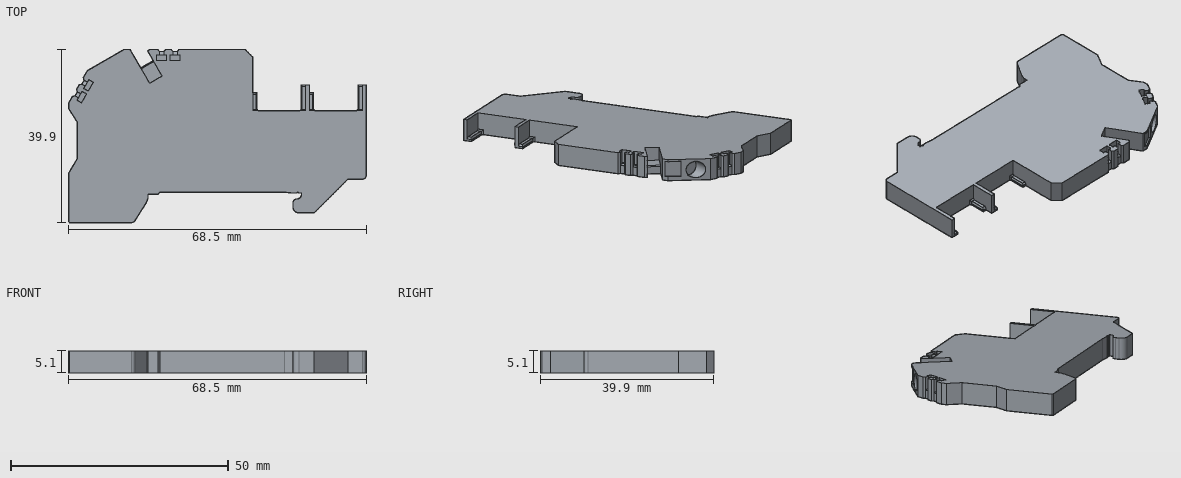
import cadquery as cq
import math

LENGTH = 68.5
HEIGHT = 39.9
THICKNESS = 5.1
SIDE_ANGLE = 30.0
SIN_A = math.sin(math.radians(SIDE_ANGLE))
COS_A = math.cos(math.radians(SIDE_ANGLE))

FOOT_WIDTH = 15.0
FOOT_CORNER = 0.25
FOOT_OUTER_RADIUS = 1.0
WAIST_X = 1.95
WAIST_BOTTOM_Y = 14.7
WAIST_TOP_Y = 23.2
FOOT_SHOULDER_Y = 11.4
HEAD_BOTTOM_Y = 26.25
SLOPE_START = (4.3, 35.0)
SLOPE_RISE = HEIGHT - SLOPE_START[1]
SLOPE_END_X = SLOPE_START[0] + SLOPE_RISE * COS_A / SIN_A
FACET_END_Y = SLOPE_START[1] - SLOPE_START[0] * COS_A / SIN_A

FOOT_SLOPE_END = (17.9, 4.6)
FOOT_INNER = (18.3, 5.6)
SEAT_Y = 7.0
SEAT_PAD_LEFT_Y = 6.55
SEAT_PAD_LEFT_END = 20.6
SEAT_PAD_RIGHT_Y = 6.8
SEAT_PAD_RIGHT_START = 49.7
PAD_LEFT_RAMP = 0.4
PAD_RIGHT_RAMP = 1.8
SEAT_GROOVE_X = 52.6
SEAT_GROOVE_WIDTH = 0.3
HOOK_CORNER_RADIUS = 1.4
HOOK_THROAT_RADIUS = 1.0
HOOK_TIP_RADIUS = 0.95
HOOK_LEFT = 51.6
HOOK_BOTTOM_Y = 2.25
HOOK_BOTTOM_END = 56.5
HOOK_THROAT_Y = 6.5
TAIL_BOTTOM_Y = 10.0
TAIL_RADIUS = 0.9

STEP_X = 42.4
STEP_CHAMFER = 1.8
DECK_Y = 25.8

WALL_WIDTH = 0.9
WALL_TOP_Y = 31.75
WALL_PITCH = 13.05
WALL_LEFTS = [LENGTH - WALL_WIDTH - WALL_PITCH, LENGTH - WALL_WIDTH]
SHORT_LIP_WIDTH = 0.95
LONG_LIP_WIDTH = 1.05
LIP_THICKNESS = 0.9
LIP_END_BEVEL = 0.4
LIP_SIDE_BEVEL = 0.22
LIP_SIDE_BEVEL_HEIGHT = 0.5
LIP_FLARE = 0.3
LIP_OVERLAP = 0.3
LONG_LIP_LENGTH = WALL_TOP_Y - DECK_Y
SHORT_LIP_LENGTH = 4.15

NOTCH_MOUTH = 1.85
NOTCH_NECK = 1.05
NOTCH_MOUTH_DEPTH = 0.45
NOTCH_POCKET_START = 1.35
NOTCH_POCKET_END = 2.55
NOTCH_POCKET_WIDTH = 2.35
NOTCH_POCKET_FLOOR = 2.0
NOTCH_RAMP_LOW = 2.0
NOTCH_RAMP_HIGH = 2.25
NOTCH_PITCH = 3.1
TOP_NOTCH_X = 21.4
FACET_NOTCH_OFFSET = 2.8

SLOT_CORNER = (18.65, 32.1)
SLOT_WIDTH = 3.3
SLOT_BLIND_LENGTH = 4.1
SLOT_FLOOR = 2.0
SLOT_FLOOR_CHAMFER = 0.25
SLOT_REACH = 12.0
SLOT_LIP_X = 18.75
SLOT_LIP_REACH = 2.0

ENTRY_DIAMETER = 3.9
ENTRY_DEPTH = 2.75
ENTRY_TILT = 30.0
ENTRY_Y = 36.67
RECESS_BOTTOM_Y = 38.4
RECESS_WIDTH = 3.6
RECESS_Z = 2.8
RECESS_DEPTH = 0.4


def slope_point_at(y):
    """Point on the wire-entry slope at height y, as (x, y)."""
    return SLOPE_START[0] + (y - SLOPE_START[1]) * COS_A / SIN_A, y


def prism(points, bottom, top):
    """Straight-sided solid over a polygon in XY, between two Z levels."""
    return cq.Workplane("XY").workplane(offset=bottom).polyline(points).close().extrude(top - bottom)


def body():
    """Plate outline with its rounded corners, before any cuts."""
    tip_x = HOOK_LEFT + HOOK_TIP_RADIUS
    tip_y = HOOK_THROAT_Y - HOOK_THROAT_RADIUS
    throat_x = tip_x + HOOK_THROAT_RADIUS
    groove_end = SEAT_GROOVE_X + SEAT_GROOVE_WIDTH
    tail_start = HOOK_BOTTOM_END + TAIL_BOTTOM_Y - HOOK_BOTTOM_Y
    outline = (
        cq.Workplane("XY")
        .moveTo(0, FOOT_CORNER)
        .lineTo(FOOT_CORNER, 0)
        .lineTo(FOOT_WIDTH, 0)
        .lineTo(*FOOT_SLOPE_END)
        .lineTo(*FOOT_INNER)
        .lineTo(FOOT_INNER[0], SEAT_PAD_LEFT_Y)
        .lineTo(SEAT_PAD_LEFT_END, SEAT_PAD_LEFT_Y)
        .lineTo(SEAT_PAD_LEFT_END + PAD_LEFT_RAMP, SEAT_Y)
        .lineTo(SEAT_PAD_RIGHT_START, SEAT_Y)
        .lineTo(SEAT_PAD_RIGHT_START + PAD_RIGHT_RAMP, SEAT_PAD_RIGHT_Y)
        .lineTo(SEAT_GROOVE_X, SEAT_PAD_RIGHT_Y)
        .lineTo(SEAT_GROOVE_X, SEAT_Y)
        .lineTo(groove_end, SEAT_Y)
        .lineTo(groove_end, SEAT_PAD_RIGHT_Y)
        .lineTo(throat_x, SEAT_PAD_RIGHT_Y)
        .lineTo(throat_x, HOOK_THROAT_Y)
        .radiusArc((tip_x, tip_y), HOOK_THROAT_RADIUS)
        .radiusArc((HOOK_LEFT, tip_y - HOOK_TIP_RADIUS), -HOOK_TIP_RADIUS)
        .lineTo(HOOK_LEFT, HOOK_BOTTOM_Y)
        .lineTo(HOOK_BOTTOM_END, HOOK_BOTTOM_Y)
        .lineTo(tail_start, TAIL_BOTTOM_Y)
        .lineTo(LENGTH, TAIL_BOTTOM_Y)
        .lineTo(LENGTH, DECK_Y)
        .lineTo(STEP_X, DECK_Y)
        .lineTo(STEP_X, HEIGHT - STEP_CHAMFER)
        .lineTo(STEP_X - STEP_CHAMFER, HEIGHT)
        .lineTo(SLOPE_END_X, HEIGHT)
        .lineTo(*SLOPE_START)
        .lineTo(0, FACET_END_Y)
        .lineTo(0, HEAD_BOTTOM_Y)
        .lineTo(WAIST_X, WAIST_TOP_Y)
        .lineTo(WAIST_X, WAIST_BOTTOM_Y)
        .lineTo(0, FOOT_SHOULDER_Y)
        .close()
    )
    plate = outline.extrude(THICKNESS)
    rounded_corners = [
        ((FOOT_WIDTH, 0), FOOT_OUTER_RADIUS),
        ((HOOK_LEFT, HOOK_BOTTOM_Y), HOOK_CORNER_RADIUS),
        ((LENGTH, TAIL_BOTTOM_Y), TAIL_RADIUS),
    ]
    for (x, y), radius in rounded_corners:
        nearest = cq.selectors.NearestToPointSelector((x, y, THICKNESS / 2))
        plate = plate.edges("|Z").edges(nearest).fillet(radius)
    return plate


def wall(left):
    """Thin full-thickness wall standing on the deck."""
    return cq.Workplane("XY").box(
        WALL_WIDTH, WALL_TOP_Y - DECK_Y + LIP_OVERLAP, THICKNESS, centered=False
    ).translate((left, DECK_Y - LIP_OVERLAP, 0))


def lip(root_x, side, width, length):
    """Bevelled lip beside a wall face at root_x; side is +1 or -1 along X."""
    foot_width = width + LIP_FLARE
    foot_thickness = LIP_THICKNESS + LIP_FLARE
    plan = prism(
        [
            (-LIP_OVERLAP, -LIP_OVERLAP),
            (foot_width, -LIP_OVERLAP),
            (foot_width, 0),
            (width, LIP_FLARE),
            (width, length),
            (-LIP_OVERLAP, length),
        ],
        0,
        foot_thickness,
    )
    side_profile = (
        cq.Workplane("YZ")
        .workplane(offset=-LIP_OVERLAP)
        .moveTo(-LIP_OVERLAP, 0)
        .lineTo(length, 0)
        .lineTo(length, LIP_THICKNESS - LIP_END_BEVEL)
        .lineTo(length - LIP_END_BEVEL, LIP_THICKNESS)
        .lineTo(LIP_FLARE, LIP_THICKNESS)
        .lineTo(0, foot_thickness)
        .lineTo(-LIP_OVERLAP, foot_thickness)
        .close()
        .extrude(LIP_OVERLAP + foot_width)
    )
    side_bevel = (
        cq.Workplane("XZ")
        .workplane(offset=-LIP_FLARE)
        .moveTo(width, LIP_THICKNESS - LIP_SIDE_BEVEL_HEIGHT)
        .lineTo(width, LIP_THICKNESS)
        .lineTo(width - LIP_SIDE_BEVEL, LIP_THICKNESS)
        .close()
        .extrude(-length)
    )
    shape = plan.intersect(side_profile).cut(side_bevel)
    if side < 0:
        shape = shape.mirror("YZ")
    return shape.translate((root_x, DECK_Y, 0))


def notch_cutter():
    """Marker notch cut from an edge on the X axis, running toward -Y, centred on X = 0."""
    mouth = prism(
        [
            (-NOTCH_MOUTH / 2, 0),
            (NOTCH_MOUTH / 2, 0),
            (NOTCH_NECK / 2, -NOTCH_MOUTH_DEPTH),
            (-NOTCH_NECK / 2, -NOTCH_MOUTH_DEPTH),
        ],
        0,
        THICKNESS,
    )
    neck = (
        cq.Workplane("YZ")
        .workplane(offset=-NOTCH_NECK / 2)
        .moveTo(-NOTCH_MOUTH_DEPTH, THICKNESS)
        .lineTo(-NOTCH_MOUTH_DEPTH, NOTCH_RAMP_LOW)
        .lineTo(-NOTCH_POCKET_START, NOTCH_RAMP_HIGH)
        .lineTo(-NOTCH_POCKET_START, THICKNESS)
        .close()
        .extrude(NOTCH_NECK)
    )
    pocket = cq.Workplane("XY").box(
        NOTCH_POCKET_WIDTH,
        NOTCH_POCKET_END - NOTCH_POCKET_START,
        THICKNESS - NOTCH_POCKET_FLOOR,
        centered=(True, False, False),
    ).translate((0, -NOTCH_POCKET_END, NOTCH_POCKET_FLOOR))
    return mouth.union(neck).union(pocket)


def marker_notches():
    """Two notches in the top edge and two in the slanted left facet."""
    cutters = []
    for index in range(2):
        top_x = TOP_NOTCH_X + index * NOTCH_PITCH
        cutters.append(notch_cutter().translate((top_x, HEIGHT, 0)))
        along = FACET_NOTCH_OFFSET + index * NOTCH_PITCH
        facet_point = (SLOPE_START[0] - along * SIN_A, SLOPE_START[1] - along * COS_A, 0)
        turned = notch_cutter().rotate((0, 0, 0), (0, 0, 1), 90 - SIDE_ANGLE)
        cutters.append(turned.translate(facet_point))
    return cutters


def driver_slot():
    """Slot whose outer part passes through the plate and whose inner part has a floor."""
    profile = (
        cq.Workplane("YZ")
        .moveTo(0, THICKNESS)
        .lineTo(0, SLOT_FLOOR)
        .lineTo(SLOT_BLIND_LENGTH - SLOT_FLOOR_CHAMFER, SLOT_FLOOR)
        .lineTo(SLOT_BLIND_LENGTH, SLOT_FLOOR - SLOT_FLOOR_CHAMFER)
        .lineTo(SLOT_BLIND_LENGTH, 0)
        .lineTo(SLOT_REACH, 0)
        .lineTo(SLOT_REACH, THICKNESS)
        .close()
        .extrude(SLOT_WIDTH)
    )
    turned = profile.rotate((0, 0, 0), (0, 0, 1), SIDE_ANGLE)
    return turned.translate((SLOT_CORNER[0], SLOT_CORNER[1], 0))


def slot_lip_bevel():
    """Blunts the sharp edge between the slot and the flat top."""
    drop = SLOT_LIP_REACH * SIN_A / COS_A
    points = [
        (SLOT_LIP_X, HEIGHT),
        (SLOT_LIP_X - SLOT_LIP_REACH, HEIGHT),
        (SLOT_LIP_X - SLOT_LIP_REACH, HEIGHT - drop),
    ]
    return prism(points, 0, THICKNESS)


def wire_entry():
    """Blind round bore in the slope, tilted toward -X from the slope normal."""
    x, y = slope_point_at(ENTRY_Y)
    angle = math.radians(90 + SIDE_ANGLE + ENTRY_TILT)
    outward = cq.Vector(math.cos(angle), math.sin(angle), 0)
    start = cq.Vector(x, y, THICKNESS / 2) - outward * ENTRY_DEPTH
    bore = cq.Solid.makeCylinder(ENTRY_DIAMETER / 2, 2 * ENTRY_DEPTH, start, outward)
    return cq.Workplane(obj=bore)


def slope_recess():
    """Shallow rectangular recess in the upper end of the slope, open at the top edge."""
    x, y = slope_point_at(RECESS_BOTTOM_Y)
    recess_reach = 2 * (HEIGHT - RECESS_BOTTOM_Y) / SIN_A
    cutter = cq.Workplane("XY").box(
        recess_reach, 2 * RECESS_DEPTH, RECESS_WIDTH, centered=(False, True, True)
    )
    return cutter.rotate((0, 0, 0), (0, 0, 1), SIDE_ANGLE).translate((x, y, RECESS_Z))


part = body()
for wall_left in WALL_LEFTS:
    part = part.union(wall(wall_left))
    part = part.union(lip(wall_left, -1, LONG_LIP_WIDTH, LONG_LIP_LENGTH))
for short_root in (STEP_X, WALL_LEFTS[0] + WALL_WIDTH):
    part = part.union(lip(short_root, 1, SHORT_LIP_WIDTH, SHORT_LIP_LENGTH))
for cutter in marker_notches():
    part = part.cut(cutter)
for cutter in (driver_slot(), slot_lip_bevel(), wire_entry(), slope_recess()):
    part = part.cut(cutter)

result = part